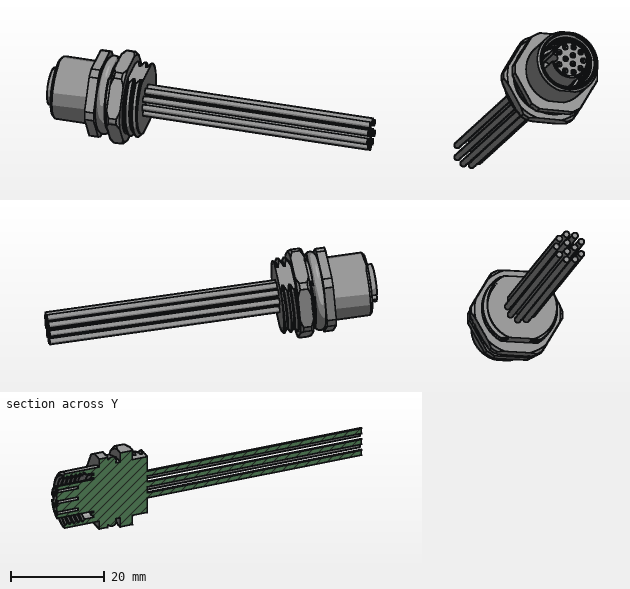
import cadquery as cq
import math

TOTAL_LENGTH = 71.0

SLEEVE_START = 1.5
FLANGE_START = 9.9
FLANGE_END = 11.9
NUT_START = 14.8
NUT_END = 17.7
BODY_END = 21.1
SOCKET_FLOOR = 8.6

SLEEVE_RADIUS = 6.8
SLEEVE_CHAMFER = 0.5
SLEEVE_FLAT_HEIGHT = 6.6

SOCKET_MINOR_RADIUS = 5.4
SOCKET_MAJOR_RADIUS = 5.95
SOCKET_MOUTH_RADIUS = 6.05
SOCKET_PITCH = 1.0
SOCKET_THREAD_TURNS = 6

INSERT_RADIUS = 4.05
INSERT_CHAMFER_DEPTH = 0.12
INSERT_FACE_RADIUS = 3.7
KEY_WIDTH = 1.5
KEY_TIP_RADIUS = 2.9
KEY_DEPTH = 6.0

SOCKET_SEAL_MEAN_RADIUS = 4.65
SOCKET_SEAL_SECTION_RADIUS = 0.4

OUTER_CONTACT_CIRCLE_RADIUS = 2.88
OUTER_CONTACT_STEP = 38.0
OUTER_CONTACTS_PER_SIDE = 4
INNER_CONTACT_CIRCLE_RADIUS = 1.1
INNER_CONTACT_COUNT = 3
CONTACT_HOLE_DIAMETER = 0.5
CONTACT_SINK_DIAMETER = 1.1
CONTACT_SINK_ANGLE = 90.0
CONTACT_HOLE_DEPTH = 5.0
WIRE_DIAMETER = 1.3
WIRE_EMBEDMENT = 1.0

FLANGE_ACROSS_FLATS = 17.0
FLANGE_CORNER_CHAMFER = 1.15

SEAL_OUTER_RADIUS = 8.5
SEAL_SECTION_RADIUS = 1.03
SEAL_SQUEEZE = 0.05

THREAD_ROOT_RADIUS = 7.25
THREAD_CREST_RADIUS = 8.05
THREAD_PITCH = 1.5
THREAD_START = 13.0
THREAD_FLAT_HEIGHT = 6.8

NUT_ACROSS_FLATS = 18.0
NUT_CORNER_RADIUS = 10.0
NUT_CHAMFER = 0.6

THREAD_TIP_WIDTH_RATIO = 0.1
THREAD_BASE_WIDTH_RATIO = 0.9
THREAD_OVERLAP = 0.1


def section_plane(x):
    """Workplane across the axis at station x, local axes along Y and Z."""
    return cq.Workplane("YZ", origin=(x, 0, 0))


def cylinder(start, end, radius):
    return section_plane(start).circle(radius).extrude(end - start)


def hexagon(start, end, across_flats):
    """Hexagonal prism with flats facing +Z and -Z and corners on the Y axis."""
    corner_diameter = across_flats / math.cos(math.pi / 6)
    return section_plane(start).polygon(6, corner_diameter).extrude(end - start)


def ring(x, mean_radius, section_radius):
    """Torus around the X axis, centred at station x."""
    profile = cq.Workplane("XY").center(x, mean_radius).circle(section_radius)
    return profile.revolve(360, (-x, -mean_radius, 0), (1 - x, -mean_radius, 0))


def helical_ridge(start, turns, pitch, base_radius, tip_radius):
    """Right-handed V ridge around X; tip_radius may lie inside or outside base_radius."""
    half_base = THREAD_BASE_WIDTH_RATIO * pitch / 2
    half_tip = THREAD_TIP_WIDTH_RATIO * pitch / 2
    sunk_radius = base_radius - math.copysign(THREAD_OVERLAP, tip_radius - base_radius)
    helix = cq.Wire.makeHelix(pitch, turns * pitch, base_radius)
    ridge = (
        cq.Workplane("XZ")
        .polyline(
            [
                (sunk_radius, -half_base),
                (tip_radius, -half_tip),
                (tip_radius, half_tip),
                (sunk_radius, half_base),
            ]
        )
        .close()
        .sweep(cq.Workplane(helix), isFrenet=True)
    )
    return ridge.rotate((0, 0, 0), (0, 1, 0), 90).translate((start, 0, 0))


def cut_flats(body, start, end, flat_height, outer_reach):
    """Trim a round body to flats facing +Z and -Z at flat_height from the axis."""
    cutter_height = outer_reach - flat_height
    for side in (1, -1):
        cutter = (
            section_plane(start)
            .center(0, side * (flat_height + cutter_height / 2))
            .rect(2 * outer_reach, cutter_height)
            .extrude(end - start)
        )
        body = body.cut(cutter)
    return body


def contact_positions():
    """(Y, Z) of the outer contacts, symmetric about -Y, and of the inner contacts."""
    outer_steps = range(-OUTER_CONTACTS_PER_SIDE, OUTER_CONTACTS_PER_SIDE + 1)
    polar = [(OUTER_CONTACT_CIRCLE_RADIUS, 180 + step * OUTER_CONTACT_STEP) for step in outer_steps]
    inner_step = 360 / INNER_CONTACT_COUNT
    polar += [(INNER_CONTACT_CIRCLE_RADIUS, index * inner_step) for index in range(INNER_CONTACT_COUNT)]
    return [
        (radius * math.cos(math.radians(angle)), radius * math.sin(math.radians(angle)))
        for radius, angle in polar
    ]


def make_sleeve():
    """Solid sleeve blank with a chamfered front edge and two narrow flats."""
    barrel = cylinder(SLEEVE_START, FLANGE_END, SLEEVE_RADIUS)
    barrel = barrel.faces("<X").edges().chamfer(SLEEVE_CHAMFER)
    return cut_flats(barrel, SLEEVE_START, FLANGE_END, SLEEVE_FLAT_HEIGHT, SLEEVE_RADIUS)


def make_socket_sleeve():
    """Sleeve bored out, threaded inside and chamfered at its mouth."""
    lead_in = SOCKET_MAJOR_RADIUS - SOCKET_MINOR_RADIUS
    bore = cylinder(SLEEVE_START, SOCKET_FLOOR, SOCKET_MINOR_RADIUS)
    groove = helical_ridge(
        SLEEVE_START - SOCKET_PITCH / 2,
        SOCKET_THREAD_TURNS,
        SOCKET_PITCH,
        SOCKET_MINOR_RADIUS,
        SOCKET_MAJOR_RADIUS,
    )
    mouth = (
        cq.Workplane("XY")
        .polyline(
            [
                (SLEEVE_START, 0),
                (SLEEVE_START, SOCKET_MOUTH_RADIUS),
                (SLEEVE_START + lead_in, SOCKET_MOUTH_RADIUS - lead_in),
                (SLEEVE_START + lead_in, 0),
            ]
        )
        .close()
        .revolve(360, (0, 0, 0), (1, 0, 0))
    )
    return make_sleeve().cut(bore).cut(groove).cut(mouth)


def make_insert():
    """Contact carrier with its coding slot at +Y and the contact holes."""
    insert = (
        cq.Workplane("XY")
        .polyline(
            [
                (0, 0),
                (0, INSERT_FACE_RADIUS),
                (INSERT_CHAMFER_DEPTH, INSERT_RADIUS),
                (SOCKET_FLOOR, INSERT_RADIUS),
                (SOCKET_FLOOR, 0),
            ]
        )
        .close()
        .revolve(360, (0, 0, 0), (1, 0, 0))
    )
    tip_centre = KEY_TIP_RADIUS + KEY_WIDTH / 2
    slot_length = 2 * (INSERT_RADIUS - KEY_TIP_RADIUS) + KEY_WIDTH
    slot = (
        section_plane(0)
        .center(tip_centre + (slot_length - KEY_WIDTH) / 2, 0)
        .slot2D(slot_length, KEY_WIDTH)
        .extrude(KEY_DEPTH)
    )
    return cut_contact_holes(insert.cut(slot))


def cut_contact_holes(insert):
    """Countersunk blind holes, one per contact, sunk from the mating face."""
    sink_angle = math.radians(CONTACT_SINK_ANGLE / 2)
    sink_depth = (CONTACT_SINK_DIAMETER - CONTACT_HOLE_DIAMETER) / 2 / math.tan(sink_angle)
    for y, z in contact_positions():
        hole = cylinder(0, CONTACT_HOLE_DEPTH, CONTACT_HOLE_DIAMETER / 2)
        sink = cq.Solid.makeCone(
            CONTACT_SINK_DIAMETER / 2,
            CONTACT_HOLE_DIAMETER / 2,
            sink_depth,
            dir=cq.Vector(1, 0, 0),
        )
        insert = insert.cut(hole.union(sink).translate((0, y, z)))
    return insert


def make_flange():
    flange = hexagon(FLANGE_START, FLANGE_END, FLANGE_ACROSS_FLATS)
    return flange.edges("|X").chamfer(FLANGE_CORNER_CHAMFER)


def make_threaded_shank():
    """Externally threaded rear body, trimmed flat at +Z and -Z."""
    turns = math.ceil((BODY_END - THREAD_START) / THREAD_PITCH) + 1
    ridge = helical_ridge(
        THREAD_START, turns, THREAD_PITCH, THREAD_ROOT_RADIUS, THREAD_CREST_RADIUS
    )
    ridge_end = THREAD_START + (turns + 1) * THREAD_PITCH
    shank = cylinder(FLANGE_END, ridge_end, THREAD_ROOT_RADIUS).union(ridge)
    overrun = cylinder(BODY_END, ridge_end, NUT_CORNER_RADIUS)
    shank = shank.cut(overrun)
    return cut_flats(shank, FLANGE_END, BODY_END, THREAD_FLAT_HEIGHT, NUT_CORNER_RADIUS)


def make_nut():
    """Hexagonal nut whose corners are turned round and chamfered on both faces."""
    turned_blank = cylinder(NUT_START, NUT_END, NUT_CORNER_RADIUS)
    turned_blank = turned_blank.faces("<X or >X").edges().chamfer(NUT_CHAMFER)
    return hexagon(NUT_START, NUT_END, NUT_ACROSS_FLATS).intersect(turned_blank)


def make_wires():
    start = BODY_END - WIRE_EMBEDMENT
    return (
        section_plane(start)
        .pushPoints(contact_positions())
        .circle(WIRE_DIAMETER / 2)
        .extrude(TOTAL_LENGTH - start)
    )


seal = ring(
    FLANGE_END + SEAL_SECTION_RADIUS - SEAL_SQUEEZE,
    SEAL_OUTER_RADIUS - SEAL_SECTION_RADIUS,
    SEAL_SECTION_RADIUS,
)
socket_seal = ring(
    SOCKET_FLOOR - SOCKET_SEAL_SECTION_RADIUS / 2,
    SOCKET_SEAL_MEAN_RADIUS,
    SOCKET_SEAL_SECTION_RADIUS,
)

result = (
    make_socket_sleeve()
    .union(make_insert())
    .union(socket_seal)
    .union(make_flange())
    .union(make_threaded_shank())
    .union(seal)
    .union(make_nut())
    .union(make_wires())
)